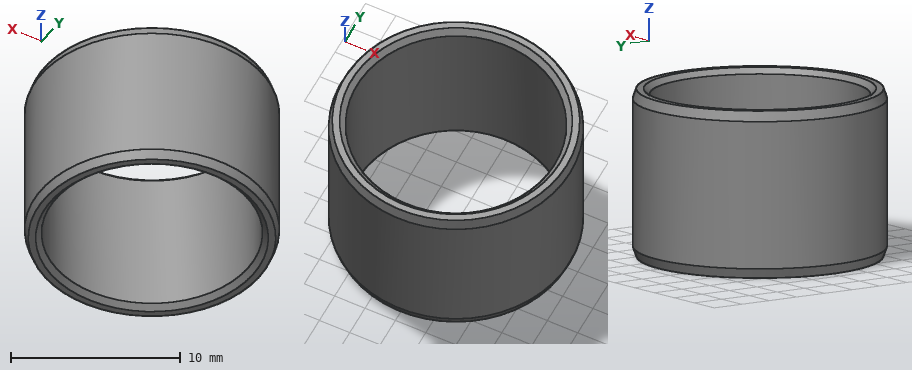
import cadquery as cq
import math

outer_diameter = 15.0
bore_diameter = 13.0
length = 10.0

outer_chamfer_length = 0.6
outer_chamfer_angle = math.radians(20)
outer_chamfer_depth = outer_chamfer_length * math.tan(outer_chamfer_angle)

bore_chamfer = 0.35

outer_radius = outer_diameter / 2
bore_radius = bore_diameter / 2
half_length = length / 2

end_outer_radius = outer_radius - outer_chamfer_depth
end_bore_radius = bore_radius + bore_chamfer
outer_shoulder = half_length - outer_chamfer_length
bore_shoulder = half_length - bore_chamfer

wall_section = (
    cq.Workplane("XZ")
    .moveTo(bore_radius, -bore_shoulder)
    .lineTo(end_bore_radius, -half_length)
    .lineTo(end_outer_radius, -half_length)
    .lineTo(outer_radius, -outer_shoulder)
    .lineTo(outer_radius, outer_shoulder)
    .lineTo(end_outer_radius, half_length)
    .lineTo(end_bore_radius, half_length)
    .lineTo(bore_radius, bore_shoulder)
    .close()
)

result = wall_section.revolve(360, (0, 0, 0), (0, 1, 0))